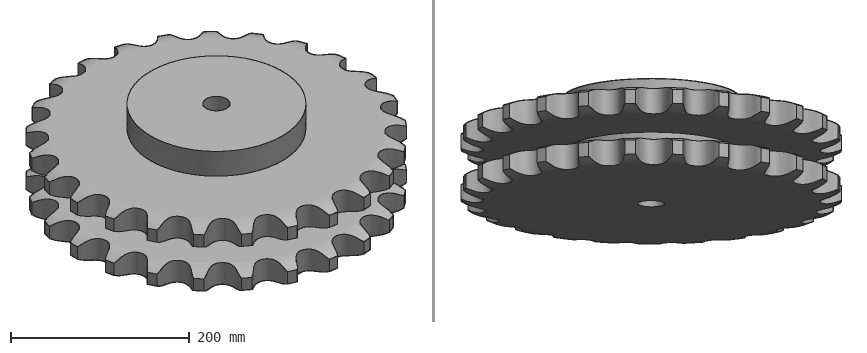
import cadquery as cq
import math

tooth_count = 25
tooth_angle = 360 / tooth_count
pitch_diameter = 405.5
pitch_radius = pitch_diameter / 2
roller_diameter = 28.5

overall_width = 425.5
tip_half_angle = 1.6
outside_radius = overall_width / 2 / math.cos(math.radians(tooth_angle / 4 - tip_half_angle))

disc_thickness = 29.0
disc_spacing = 58.5
hub_diameter = 200.0
hub_height = 120.0
bore_diameter = 30.0

relief_start_radius = 189.0
relief_depth = 6.5

seat_radius = 0.5025 * roller_diameter
seat_half_angle = 55 - 60 / tooth_count
working_radius = 1.3025 * roller_diameter
working_angle = 18 - 56 / tooth_count
flank_length = 4.0
topping_radius = 23.5
topping_angle = 20.0

first_gap_angle = -90 + tooth_angle / 2


def shifted(point, distance, heading):
    """Point reached by moving a distance along a heading given in degrees from +X."""
    angle = math.radians(heading)
    return (point[0] + distance * math.cos(angle), point[1] + distance * math.sin(angle))


def arc_move(start, radius, heading, turn):
    """Middle and end points of an arc that leaves start along heading and turns (left positive)."""
    middle = shifted(start, 2 * radius * math.sin(math.radians(abs(turn) / 4)), heading + turn / 4)
    end = shifted(start, 2 * radius * math.sin(math.radians(abs(turn) / 2)), heading + turn / 2)
    return middle, end


def mirrored(point):
    return (-point[0], point[1])


def make_gap():
    """Cutter for one tooth gap, centred on +Y, as tall as a disc."""
    flank_heading = seat_half_angle + working_angle
    root = (0, pitch_radius - seat_radius)
    _, seat_end = arc_move(root, seat_radius, 0, seat_half_angle)
    work_mid, work_end = arc_move(seat_end, working_radius, seat_half_angle, working_angle)
    flank_end = shifted(work_end, flank_length, flank_heading)
    top_mid, top_end = arc_move(flank_end, topping_radius, flank_heading, -topping_angle)
    return (
        cq.Workplane("XY")
        .moveTo(*mirrored(top_end))
        .threePointArc(mirrored(top_mid), mirrored(flank_end))
        .lineTo(*mirrored(work_end))
        .threePointArc(mirrored(work_mid), mirrored(seat_end))
        .threePointArc(root, seat_end)
        .threePointArc(work_mid, work_end)
        .lineTo(*flank_end)
        .threePointArc(top_mid, top_end)
        .close()
        .extrude(disc_thickness)
    )


def make_blank():
    """Round disc whose rim is relieved by arcs tangent to its flat faces."""
    relief_length = outside_radius - relief_start_radius
    relief_turn = 2 * math.degrees(math.atan2(relief_depth, relief_length))
    relief_radius = relief_length / math.sin(math.radians(relief_turn))
    lower_start = (relief_start_radius, 0)
    lower_mid, lower_end = arc_move(lower_start, relief_radius, 0, relief_turn)

    def upper(point):
        return (point[0], disc_thickness - point[1])

    return (
        cq.Workplane("XZ")
        .lineTo(*lower_start)
        .threePointArc(lower_mid, lower_end)
        .lineTo(*upper(lower_end))
        .threePointArc(upper(lower_mid), upper(lower_start))
        .lineTo(0, disc_thickness)
        .close()
        .revolve(360, (0, 0, 0), (0, 1, 0))
    )


def make_toothed_disc():
    disc = make_blank()
    gap = make_gap()
    for index in range(tooth_count):
        turn = first_gap_angle + index * tooth_angle - 90
        disc = disc.cut(gap.rotate((0, 0, 0), (0, 0, 1), turn))
    return disc


toothed_disc = make_toothed_disc()
hub = cq.Workplane("XY").circle(hub_diameter / 2).extrude(hub_height)
bore = cq.Workplane("XY").circle(bore_diameter / 2).extrude(hub_height)

result = hub.union(toothed_disc).union(toothed_disc.translate((0, 0, disc_spacing))).cut(bore)